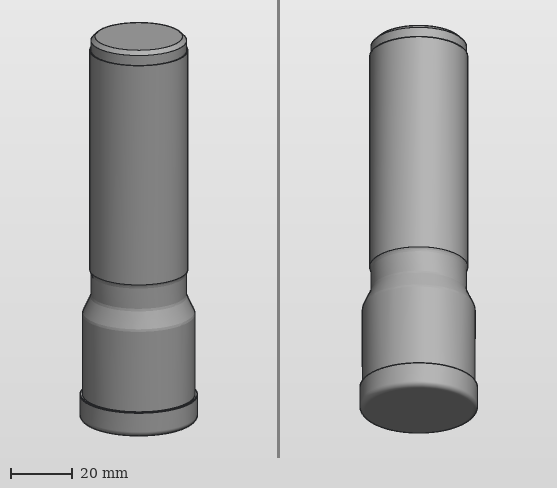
import cadquery as cq
import math

total_length = 130.18
collar_radius = 38.1 / 2

collar_height = 8.45
collar_corner_radius = 1.7
collar_top_chamfer = 0.25

body_radius = 36.5 / 2
cone_base_height = 36.0
cone_half_angle = 24.8
body_blend_radius = 2.0

neck_radius = 15.45
neck_blend_radius = 2.0

shank_radius = 31.75 / 2
shank_base_height = 50.85
shank_end_height = 125.45
shank_base_half_angle = 21.5

rear_radius = 15.5
rear_chamfer = 1.35


def cone_height(large_radius, small_radius, half_angle):
    """Axial length of a cone running between two radii."""
    return (large_radius - small_radius) / math.tan(math.radians(half_angle))


def circle_at(radius, height):
    """Select the round edge of the given radius lying at the given height."""
    margin = 0.01
    low_corner = (-radius - margin, -radius - margin, height - margin)
    high_corner = (radius + margin, radius + margin, height + margin)
    return cq.selectors.BoxSelector(low_corner, high_corner, boundingbox=True)


def make_collar():
    """Round collar with a rounded bottom corner and a small top chamfer."""
    return (
        cq.Workplane("XY")
        .circle(collar_radius)
        .extrude(collar_height)
        .faces("<Z").edges().fillet(collar_corner_radius)
        .faces(">Z").edges().chamfer(collar_top_chamfer)
    )


def make_shank():
    """Turned body, cone, relief neck, shank and rear end, seated on the collar."""
    neck_base_height = cone_base_height + cone_height(body_radius, neck_radius, cone_half_angle)
    neck_end_height = shank_base_height - cone_height(shank_radius, neck_radius, shank_base_half_angle)
    turned = (
        cq.Workplane("XZ")
        .moveTo(0, collar_height)
        .lineTo(body_radius, collar_height)
        .lineTo(body_radius, cone_base_height)
        .lineTo(neck_radius, neck_base_height)
        .lineTo(neck_radius, neck_end_height)
        .lineTo(shank_radius, shank_base_height)
        .lineTo(shank_radius, shank_end_height)
        .lineTo(rear_radius, shank_end_height)
        .lineTo(rear_radius, total_length)
        .lineTo(0, total_length)
        .close()
        .revolve(360, (0, 0, 0), (0, 1, 0))
    )

    turned = turned.edges(circle_at(body_radius, cone_base_height)).fillet(body_blend_radius)
    turned = turned.edges(circle_at(neck_radius, neck_base_height)).fillet(neck_blend_radius)
    turned = turned.edges(circle_at(neck_radius, neck_end_height)).fillet(neck_blend_radius)
    return turned.faces(">Z").edges().chamfer(rear_chamfer)


collar = make_collar()
shank = make_shank()

result = cq.Compound.makeCompound([collar.val(), shank.val()])